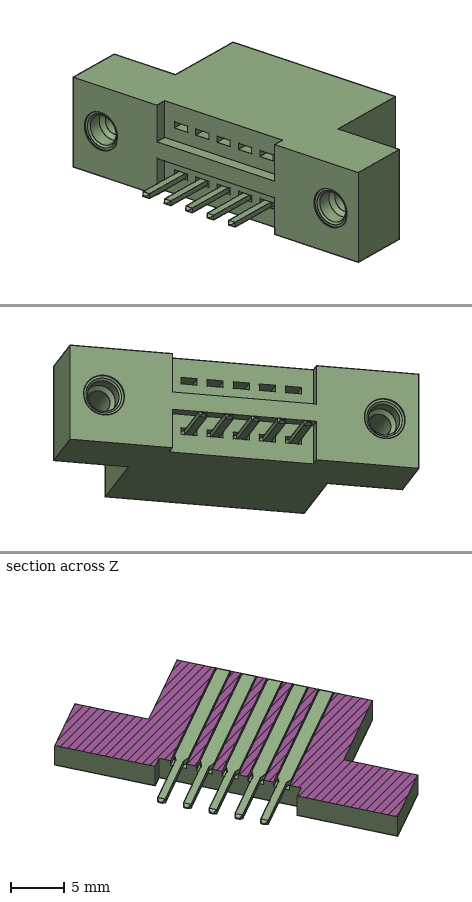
import cadquery as cq


flange_length = 33.9
height = 9.4
flange_depth = 6.35
block_length = 19.33
housing_depth = 15.23

recess_length = 14.0
recess_depth = 1.22
rib_height = 1.73

contact_count = 5
pitch = 2.55
row_height = 2.5
slot_width = 1.55
slot_height = 0.65

overall_depth = 19.67
pin_width = 0.75
pin_thickness = 0.5
blade_width = 1.35
shoulder_start = 1.55
shoulder_length = 0.58
tip_inset = 0.2
tip_length = 0.35

insert_spacing = 27.3
insert_radius = 1.95
insert_setback = 0.17
mouth_radius = 1.73
counterbore_radius = 1.53
bore_radius = 1.12
mouth_depth = 0.17
counterbore_depth = 1.55
taper_depth = 0.4

pin_projection = overall_depth - housing_depth
contact_xs = [(i - (contact_count - 1) / 2) * pitch for i in range(contact_count)]
insert_xs = [-insert_spacing / 2, insert_spacing / 2]


def block(width, depth, block_height, x=0.0, z=0.0):
    """Box centred on x and z that runs from Y = 0 toward +Y."""
    box = cq.Workplane("XY").box(width, depth, block_height, centered=(True, False, True))
    return box.translate((x, 0, z))


def make_housing():
    body = block(flange_length, flange_depth, height).union(block(block_length, housing_depth, height))

    recess_height = (height - rib_height) / 2
    for side in (1, -1):
        recess_z = side * (rib_height + recess_height) / 2
        body = body.cut(block(recess_length, recess_depth, recess_height, z=recess_z))
        for x in contact_xs:
            body = body.cut(block(slot_width, housing_depth, slot_height, x=x, z=side * row_height))

    for x in insert_xs:
        hole = cq.Workplane("XZ").center(x, 0).circle(insert_radius).extrude(-flange_depth)
        body = body.cut(hole)
    return body


def make_contact(x):
    """Flat blade on the slot floor that narrows at sloped shoulders to a pin with a tapered tip."""
    half_pin = pin_width / 2
    half_blade = blade_width / 2
    shoulder_end = shoulder_start + shoulder_length
    tip_base = tip_length - pin_projection
    profile = [
        (half_pin, tip_base),
        (half_pin, shoulder_start),
        (half_blade, shoulder_end),
        (half_blade, housing_depth),
        (-half_blade, housing_depth),
        (-half_blade, shoulder_end),
        (-half_pin, shoulder_start),
        (-half_pin, tip_base),
    ]
    shank = cq.Workplane("XY").polyline(profile).close().extrude(pin_thickness / 2, both=True)
    tip = (
        cq.Workplane("XZ", origin=(0, tip_base, 0))
        .rect(pin_width, pin_thickness)
        .workplane(offset=tip_length)
        .rect(pin_width - 2 * tip_inset, pin_thickness - 2 * tip_inset)
        .loft()
    )
    slot_floor = -row_height - slot_height / 2
    return shank.union(tip).translate((x, 0, slot_floor + pin_thickness / 2))


def make_insert(x):
    """Sleeve set just below the front face, flush at the back, with a bore that tapers down in steps."""
    mouth_end = insert_setback + mouth_depth
    counterbore_end = insert_setback + counterbore_depth
    taper_end = counterbore_end + taper_depth
    half_section = [
        (insert_radius, insert_setback),
        (insert_radius, flange_depth),
        (bore_radius, flange_depth),
        (bore_radius, taper_end),
        (counterbore_radius, counterbore_end),
        (counterbore_radius, mouth_end),
        (mouth_radius, insert_setback),
    ]
    sleeve = cq.Workplane("XY").polyline(half_section).close().revolve(360, (0, 0, 0), (0, 1, 0))
    return sleeve.translate((x, 0, 0))


housing = make_housing()
contacts = [make_contact(x) for x in contact_xs]
inserts = [make_insert(x) for x in insert_xs]

result = cq.Compound.makeCompound(
    [housing.val()] + [contact.val() for contact in contacts] + [insert.val() for insert in inserts]
)